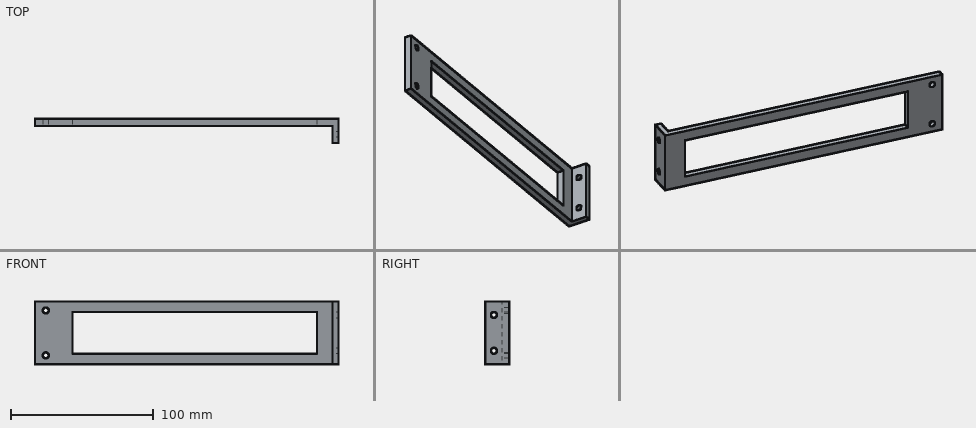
import cadquery as cq

length = 212.5
depth = 17.0
height = 44.0

plate_thickness = 5.0
flange_thickness = 4.5
plate_front = depth - plate_thickness

window_start = 26.4
window_length = 170.8
window_height = 29.0

hole_diameter = 4.0
plate_hole_x = 7.6
plate_hole_spacing = 31.5
flange_hole_y = 6.2
flange_hole_spacing = 25.0


def box(x, y, z, size_x, size_y, size_z):
    """Box with its lowest corner at x, y, z."""
    return cq.Workplane("XY").box(size_x, size_y, size_z, centered=False).translate((x, y, z))


def hole_pair(start_x, start_y, spacing, drill_length, direction):
    """List of two drill cylinders spaced along Z about mid-height."""
    drills = []
    for side in (-1, 1):
        start = cq.Vector(start_x, start_y, height / 2 + side * spacing / 2)
        drills.append(cq.Solid.makeCylinder(hole_diameter / 2, drill_length, start, direction))
    return drills


plate = box(0, plate_front, 0, length, plate_thickness, height)
flange = box(length - flange_thickness, 0, 0, flange_thickness, depth, height)
window = box(
    window_start,
    plate_front,
    (height - window_height) / 2,
    window_length,
    plate_thickness,
    window_height,
)
plate_holes = hole_pair(
    plate_hole_x, plate_front, plate_hole_spacing, plate_thickness, cq.Vector(0, 1, 0)
)
flange_holes = hole_pair(
    length - flange_thickness, flange_hole_y, flange_hole_spacing, flange_thickness, cq.Vector(1, 0, 0)
)

result = plate.union(flange).cut(window)
for drill in plate_holes + flange_holes:
    result = result.cut(cq.Workplane(drill))